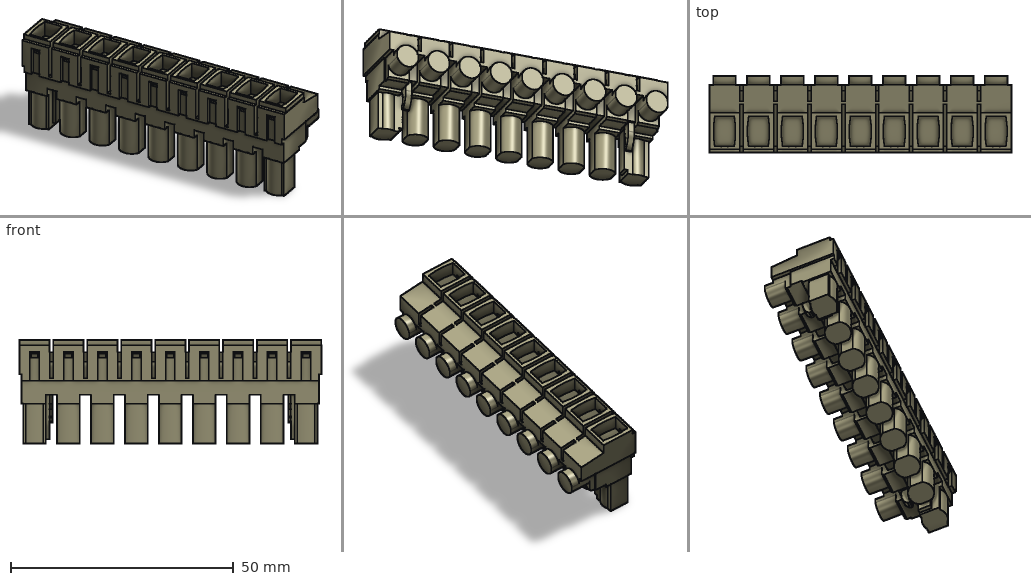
import cadquery as cq


poles = 9
pitch = 7.62
total_length = 67.9
total_depth = 17.25
total_height = 23.25
row_half_span = (poles - 1) / 2 * pitch
pole_centres = [(i - (poles - 1) / 2) * pitch for i in range(poles)]
gap_centres = [x + pitch / 2 for x in pole_centres[:-1]]
end_poles = ((pole_centres[0], 1), (pole_centres[-1], -1))

head_half = 3.42
core_half = 2.57
base_half_length = 33.4
head_half_length = row_half_span + head_half
flank_thickness = total_length - 2 * head_half_length

base_front = 0.81
tower_rear = 8.95
base_rear = 10.75
lug_rear = 12.2
head_rear = 15.2

plug_top = 8.95
rear_lug_bottom = 9.72
base_bottom = 10.92
overhang_bottom = 14.05
head_bottom = 15.5
roof_rear_top = 19.92
roof_front_top = 20.8
front_step_top = 22.05

front_lug_rear = 7.9
lug_chamfer = 0.5

plug_radius = 2.95
plug_centre_y = base_front + plug_radius
key_front = 1.55
key_rear = 6.35

barrel_radius = 2.64
barrel_axis_z = 13.62

gap_width = pitch - 2 * head_half
front_notch_depth = 1.4
front_notch_floor = 14.65
gap_floor = 18.35
bridge_front = 10.85
bridge_rear = 11.6
rear_notch_front = 13.85
rear_notch_floor = 16.5

pocket_front = 1.4
pocket_rear = 8.15
pocket_end_half = 2.2
pocket_mid_half = 2.5
button_top = total_height - 3.6
button_bottom = head_bottom

slot_half = 1.05
slot_top = 20.65
slot_depth = base_front + 0.05
window_half = 0.78
window_bottom = 19.3
window_top = 20.45
nose_front = slot_depth - 0.5
nose_lip_bottom = 20.15

rib_outer = 3.4
rib_front = 3.3
rib_bottom = 0.95
hook_outer = 4.05
hook_front = 7.9
hook_neck_front = 8.3
hook_neck_top = 7.75
hook_neck_bottom = 6.1
hook_nib_top = 5.75
hook_nib_bottom = 5.05
hook_tip_front = 8.1
hook_tip_rear = 8.6
hook_tip_bottom = 4.65
hook_back_bulge = (9.65, 6.2)
hook_rear = 10.15
hook_back_top = 8.7


def box(x0, x1, y0, y1, z0, z1):
    """Axis-aligned block between two opposite corners."""
    return cq.Workplane("XY").box(x1 - x0, y1 - y0, z1 - z0, centered=False).translate((x0, y0, z0))


def side_prism(points, x0, x1):
    """Extrude a closed (Y, Z) outline from x0 to x1."""
    return cq.Workplane("YZ").polyline(points).close().extrude(x1 - x0).translate((x0, 0, 0))


def head():
    """Upper shell over the whole row: wire tower at the front, sloping roof behind it."""
    outline = [
        (0, head_bottom),
        (0, front_step_top),
        (base_front, front_step_top),
        (base_front, total_height),
        (tower_rear, total_height),
        (tower_rear, roof_front_top),
        (head_rear, roof_rear_top),
        (head_rear, head_bottom),
    ]
    shell = side_prism(outline, -head_half_length, head_half_length)
    flank_end = head_half_length + flank_thickness
    flank = box(head_half_length, flank_end, 0, head_rear, head_bottom, front_step_top)
    flank = flank.intersect(side_prism(outline, head_half_length, flank_end))
    return shell.union(flank)


def base():
    """Continuous band under the head, with the overhang along its front."""
    band = box(-base_half_length, base_half_length, base_front, base_rear, base_bottom, head_bottom)
    overhang = box(-base_half_length, base_half_length, 0, base_front, overhang_bottom, head_bottom)
    return band.union(overhang)


def lug_outline(rear):
    """(Y, Z) outline of a stepped lug under the band, ending at the given rear depth."""
    return [
        (base_front, head_bottom),
        (base_front, plug_top),
        (front_lug_rear, plug_top),
        (front_lug_rear, rear_lug_bottom),
        (rear, rear_lug_bottom),
        (rear, head_bottom),
    ]


def pole_lug(x):
    """Stepped lug of one pole with a chamfered lower rear edge."""
    lug = side_prism(lug_outline(lug_rear), x - core_half, x + core_half)
    return lug.edges("|X").edges(">Y").edges("<Z").chamfer(lug_chamfer)


def end_lug(x, inward):
    """Widening of an end lug out to the end of the band."""
    outer = -inward * base_half_length
    return side_prism(lug_outline(base_rear), min(x, outer), max(x, outer))


def plug(x, keyed):
    """Round plug with flat sides; a keyed one also has square corners."""
    body = cq.Workplane("XY").center(x, plug_centre_y).circle(plug_radius).extrude(plug_top)
    flats = box(x - core_half, x + core_half, 0, total_depth, 0, plug_top)
    body = body.intersect(flats)
    if keyed:
        body = body.union(box(x - core_half, x + core_half, key_front, key_rear, 0, plug_top))
    return body


def rear_barrel(x):
    """Flat-sided horizontal barrel and the block that hangs it from the head."""
    barrel = cq.Workplane("XZ", origin=(x, total_depth, barrel_axis_z)).circle(barrel_radius)
    barrel = barrel.extrude(total_depth - base_rear)
    flats = box(x - core_half, x + core_half, base_rear, total_depth, 0, total_height)
    block = box(x - core_half, x + core_half, base_rear, head_rear, barrel_axis_z, head_bottom)
    return barrel.intersect(flats).union(block)


def end_rib(x, inward):
    """Thin keying rib on the inner side of an end plug."""
    sides = sorted((x + inward * core_half, x + inward * rib_outer))
    return box(*sides, rib_front, key_rear, rib_bottom, base_bottom)


def latch_hook(x, inward):
    """Curved latch finger behind an end rib."""
    sides = sorted((x + inward * core_half, x + inward * hook_outer))
    finger = (
        cq.Workplane("YZ")
        .moveTo(hook_front, base_bottom)
        .lineTo(hook_front, plug_top)
        .lineTo(hook_neck_front, hook_neck_top)
        .lineTo(hook_neck_front, hook_neck_bottom)
        .lineTo(hook_front, hook_nib_top)
        .lineTo(hook_front, hook_nib_bottom)
        .lineTo(hook_tip_front, hook_tip_bottom)
        .lineTo(hook_tip_rear, hook_tip_bottom)
        .threePointArc(hook_back_bulge, (hook_rear, hook_back_top))
        .lineTo(hook_rear, base_bottom)
        .close()
    )
    return finger.extrude(sides[1] - sides[0]).translate((sides[0], 0, 0))


def head_gap(x):
    """Cutters for the slit between two heads, leaving a bridge in the roof."""
    x0 = x - gap_width / 2
    x1 = x + gap_width / 2
    stretches = [
        (0, front_notch_depth, front_notch_floor),
        (front_notch_depth, bridge_front, gap_floor),
        (bridge_rear, rear_notch_front, gap_floor),
        (rear_notch_front, head_rear, rear_notch_floor),
    ]
    return [box(x0, x1, y0, y1, floor, total_height) for y0, y1, floor in stretches]


def barrel_prism(x, z0, z1):
    """Upright prism with straight ends and bulging sides, as wide as the wire pocket."""
    mid_y = (pocket_front + pocket_rear) / 2
    return (
        cq.Workplane("XY")
        .moveTo(-pocket_end_half, pocket_front)
        .lineTo(pocket_end_half, pocket_front)
        .threePointArc((pocket_mid_half, mid_y), (pocket_end_half, pocket_rear))
        .lineTo(-pocket_end_half, pocket_rear)
        .threePointArc((-pocket_mid_half, mid_y), (-pocket_end_half, pocket_front))
        .close()
        .extrude(z1 - z0)
        .translate((x, 0, z0))
    )


def front_slot(x):
    """Slot down the front of a head, with a window through its back wall to the pocket."""
    slot = box(x - slot_half, x + slot_half, 0, slot_depth, overhang_bottom, slot_top)
    window = box(x - window_half, x + window_half, 0, pocket_front, window_bottom, window_top)
    return slot.union(window)


def build_housing():
    body = head().union(base())
    for x in pole_centres:
        keyed = x in (pole_centres[0], pole_centres[-1])
        body = body.union(pole_lug(x)).union(plug(x, keyed)).union(rear_barrel(x))
    for x, inward in end_poles:
        body = body.union(end_lug(x, inward))
        body = body.union(end_rib(x, inward)).union(latch_hook(x, inward))
    for x in gap_centres:
        for cutter in head_gap(x):
            body = body.cut(cutter)
    for x in pole_centres:
        body = body.cut(front_slot(x)).cut(barrel_prism(x, button_bottom, total_height))
    return body


def build_button(x):
    """Button filling the lower pocket, with a nose that fills the window and hooks into the slot."""
    nose_outline = [
        (pocket_front, window_bottom),
        (slot_depth, window_bottom),
        (nose_front, nose_lip_bottom),
        (nose_front, window_top),
        (pocket_front, window_top),
    ]
    nose = side_prism(nose_outline, x - window_half, x + window_half)
    return barrel_prism(x, button_bottom, button_top).union(nose)


housing = build_housing()
buttons = [build_button(x) for x in pole_centres]

result = cq.Compound.makeCompound([housing.val(), *[button.val() for button in buttons]])